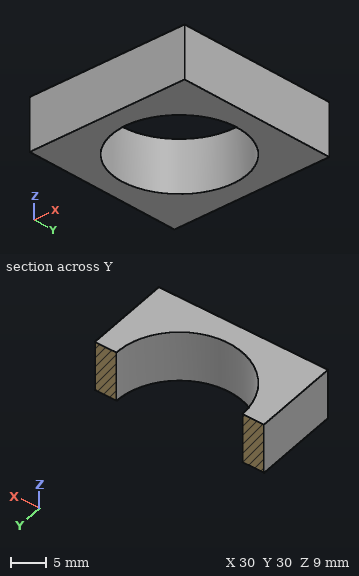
import cadquery as cq

side_length = 30.0
thickness = 9.0
bore_diameter = 22.3

plate = cq.Workplane("XY").box(side_length, side_length, thickness)
result = plate.faces(">Z").workplane().hole(bore_diameter)